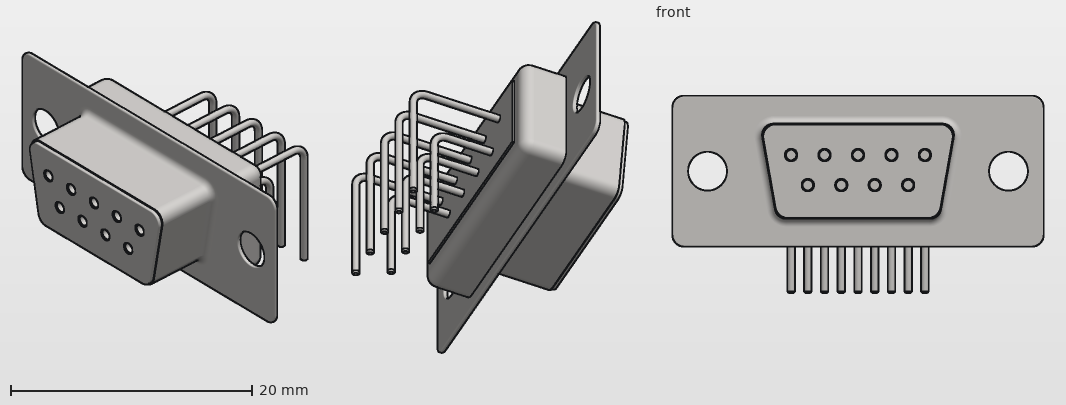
import cadquery as cq
import math


FLANGE_WIDTH = 30.8
FLANGE_HEIGHT = 12.55
FLANGE_THICKNESS = 0.4
FLANGE_CORNER_RADIUS = 1.0
FLANGE_EDGE_RADIUS = 0.15
MOUNT_HOLE_SPACING = 24.95
MOUNT_HOLE_DIAMETER = 3.2
MOUNT_HOLE_EDGE_RADIUS = 0.1

SHELL_WIDTH = 15.92
SHELL_HEIGHT = 7.92
SHELL_LENGTH = 5.75
SHELL_CORNER_RADIUS = 1.0
SHELL_SIDE_ANGLE = math.radians(10)
SHELL_ROOT_RADIUS = 0.62

FACE_INSET = 0.1
FACE_PROJECTION = 0.37
FACE_EDGE_RADIUS = 0.1
FACE_Y = -SHELL_LENGTH - FACE_PROJECTION

HOUSING_WIDTH = 19.22
HOUSING_HEIGHT = 9.95
HOUSING_DEPTH = 3.97
HOUSING_EDGE_RADIUS = 1.0
HOUSING_BACK = FLANGE_THICKNESS + HOUSING_DEPTH

PLATE_WIDTH = 16.25
PLATE_HEIGHT = 7.0
PLATE_THICKNESS = 0.2
PLATE_GAP = 0.12

CONTACT_PITCH = 2.77
PIN_ROW_SPACING = 2.6
SOCKET_ROW_SPACING = 2.5
SOCKET_RAISE = 0.1
UPPER_COUNT = 5
LOWER_COUNT = 4
SOCKET_DIAMETER = 0.85
SOCKET_DEPTH = 3.08
SOCKET_EDGE_CHAMFER = 0.1

PIN_DIAMETER = 0.65
PIN_BEND_RADIUS = 1.25
PIN_TIP_CHAMFER = 0.15
PIN_ANCHOR_DEPTH = 0.62
TOTAL_DEPTH = 18.97
TOTAL_HEIGHT = 16.4
UPPER_PIN_REACH = TOTAL_DEPTH + FACE_Y - PIN_DIAMETER / 2
LOWER_PIN_REACH = UPPER_PIN_REACH - PIN_ROW_SPACING
PIN_BOTTOM = FLANGE_HEIGHT / 2 - TOTAL_HEIGHT

ROWS = (
    (UPPER_COUNT, 1, UPPER_PIN_REACH),
    (LOWER_COUNT, -1, LOWER_PIN_REACH),
)


def plane_at(y):
    """XZ plane at depth y whose normal points backward (+Y); its local x axis is -X."""
    return cq.Workplane(cq.Plane(origin=(0, y, 0), xDir=(-1, 0, 0), normal=(0, 1, 0)))


def column_positions(count):
    return [(i - (count - 1) / 2) * CONTACT_PITCH for i in range(count)]


def make_flange():
    flange = (
        plane_at(0)
        .rect(FLANGE_WIDTH, FLANGE_HEIGHT)
        .extrude(FLANGE_THICKNESS)
        .edges("|Y")
        .fillet(FLANGE_CORNER_RADIUS)
        .faces("<Y or >Y")
        .edges()
        .fillet(FLANGE_EDGE_RADIUS)
    )
    half_spacing = MOUNT_HOLE_SPACING / 2
    holes = (
        plane_at(0)
        .pushPoints([(-half_spacing, 0), (half_spacing, 0)])
        .circle(MOUNT_HOLE_DIAMETER / 2)
        .extrude(FLANGE_THICKNESS)
    )
    flange = flange.cut(holes)
    rims = flange.faces("<Y or >Y").edges(cq.selectors.RadiusNthSelector(-1))
    return rims.fillet(MOUNT_HOLE_EDGE_RADIUS)


def make_d_prism(inset, front_y, back_y):
    """D-shaped prism, wider at the top, with its outline moved inward by inset."""
    half_corner_angle = (math.pi / 2 - SHELL_SIDE_ANGLE) / 2
    tangent_length = SHELL_CORNER_RADIUS / math.tan(half_corner_angle)
    outer_half_top = SHELL_WIDTH / 2 - SHELL_CORNER_RADIUS + tangent_length
    half_top = outer_half_top - inset / math.tan(half_corner_angle)
    height = SHELL_HEIGHT - 2 * inset
    half_bottom = half_top - height * math.tan(SHELL_SIDE_ANGLE)
    return (
        plane_at(front_y)
        .polyline([
            (-half_top, height / 2),
            (half_top, height / 2),
            (half_bottom, -height / 2),
            (-half_bottom, -height / 2),
        ])
        .close()
        .extrude(back_y - front_y)
        .edges("|Y")
        .fillet(SHELL_CORNER_RADIUS)
    )


def make_shell():
    return make_d_prism(0, -SHELL_LENGTH, FLANGE_THICKNESS)


def make_insulator_face():
    face = make_d_prism(FACE_INSET, FACE_Y, -SHELL_LENGTH)
    return face.faces("<Y").edges().fillet(FACE_EDGE_RADIUS)


def make_housing():
    return (
        plane_at(FLANGE_THICKNESS)
        .rect(HOUSING_WIDTH, HOUSING_HEIGHT)
        .extrude(HOUSING_DEPTH)
        .edges("|Y")
        .fillet(HOUSING_EDGE_RADIUS)
        .faces(">Y")
        .edges()
        .fillet(HOUSING_EDGE_RADIUS)
    )


def make_plate():
    return plane_at(HOUSING_BACK + PLATE_GAP).rect(PLATE_WIDTH, PLATE_HEIGHT).extrude(PLATE_THICKNESS)


def make_pin(x, z, reach):
    """Round wire running backward out of the housing, then bent straight down."""
    start = HOUSING_BACK - PIN_ANCHOR_DEPTH
    bend_start = reach - PIN_BEND_RADIUS
    bend_end = z - PIN_BEND_RADIUS
    path = (
        cq.Workplane("YZ", origin=(x, 0, 0))
        .moveTo(start, z)
        .lineTo(bend_start, z)
        .radiusArc((reach, bend_end), PIN_BEND_RADIUS)
        .lineTo(reach, PIN_BOTTOM)
    )
    profile = plane_at(start).center(-x, z).circle(PIN_DIAMETER / 2)
    return profile.sweep(path).faces("<Z").edges().chamfer(PIN_TIP_CHAMFER)


def make_socket(x, z):
    """Blind contact hole with a chamfered mouth, opening on the insulator face."""
    radius = SOCKET_DIAMETER / 2
    mouth_radius = radius + SOCKET_EDGE_CHAMFER
    bore = plane_at(FACE_Y).center(-x, z).circle(radius).extrude(SOCKET_DEPTH)
    mouth = (
        plane_at(FACE_Y)
        .center(-x, z)
        .circle(mouth_radius)
        .workplane(offset=SOCKET_EDGE_CHAMFER)
        .circle(radius)
        .loft()
    )
    return bore.union(mouth)


body = make_flange().union(make_shell())
root_edges = cq.selectors.BoxSelector(
    (-SHELL_WIDTH / 2, -FLANGE_THICKNESS / 2, -FLANGE_HEIGHT / 2),
    (SHELL_WIDTH / 2, FLANGE_THICKNESS / 2, FLANGE_HEIGHT / 2),
)
body = body.edges(root_edges).fillet(SHELL_ROOT_RADIUS)
body = body.union(make_insulator_face()).union(make_housing()).union(make_plate())

for count, side, reach in ROWS:
    pin_z = side * PIN_ROW_SPACING / 2
    socket_z = SOCKET_RAISE + side * SOCKET_ROW_SPACING / 2
    for column_x in column_positions(count):
        body = body.union(make_pin(column_x, pin_z, reach))
        body = body.cut(make_socket(column_x, socket_z))

result = body